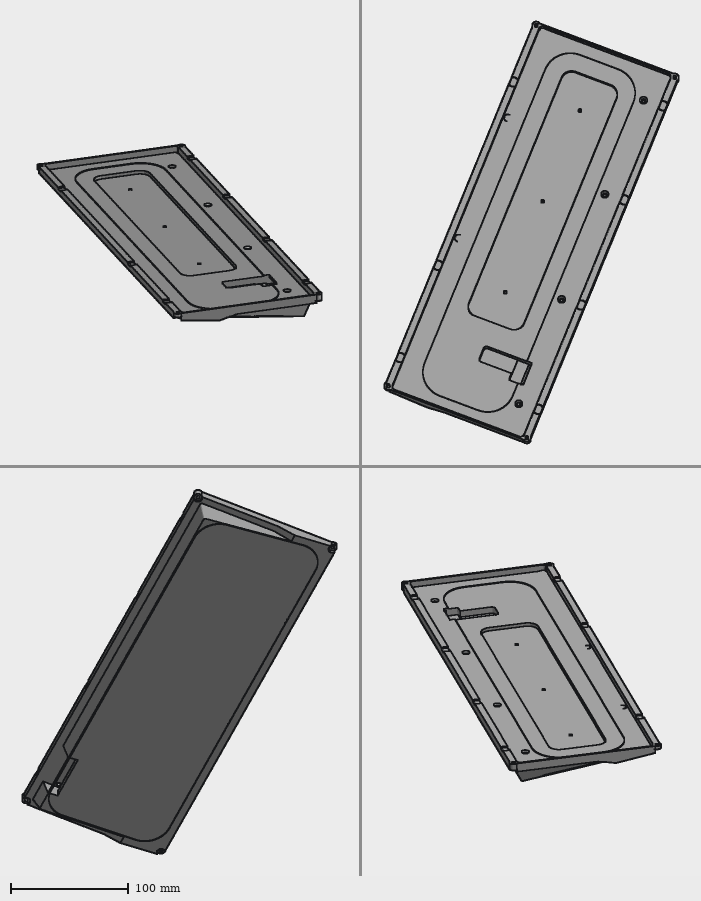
import cadquery as cq
import math

LENGTH = 352.5
WIDTH = 134.0
HEIGHT = 23.0

RING_PROUD = 0.7
RING_RADIUS = 3.5
RING_BORE = 2.9
FRONT_RING_HEIGHT = 3.0
BACK_RING_HEIGHT = 6.0
HALF_X = LENGTH / 2 - RING_PROUD
HALF_Y = WIDTH / 2 - RING_PROUD

SIDE_WALL = 1.5
FLANGE = 6.0
FLOOR_THICKNESS = 2.0
FLOOR_Z = -5.5
TRAY_CORNER = 3.0
BEND_Y = -53.5
UNDERSIDE_Z = FLOOR_Z - FLOOR_THICKNESS
SLOPE_ANGLE = 8.0
SLOPE = math.tan(math.radians(SLOPE_ANGLE))

SKIRT_BEND_Y = -10.5
SKIRT_MEETS_SLOPE_Y = -26.5

WEDGE_TOP_X = 169.5
WEDGE_FOOT_X = 165.5
WEDGE_TOP_BACK_Y = 59.2
WEDGE_FOOT_BACK_Y = 54.3
WEDGE_CORNER = 1.8

PANEL_FRONT_Y = -59.2
PANEL_BACK_Y = 53.2
PANEL_FRONT_X = 168.8
PANEL_BACK_X = 165.0
PANEL_CORNER = 21.0
PANEL_DEPTH = 0.7

NOTCH_DIAMETER = 8.5
NOTCH_DEPTH = 1.5
BACK_NOTCH_X = (-145.5, -55.5, 45.5, 145.5)
FRONT_NOTCH_X = (-118.8, 57.0, 145.5)
SINK_Y = 45.5
SINK_DIAMETER = 6.5
SINK_BORE = 3.2
SINK_DEPTH = 1.5
SINK_BORE_DEPTH = 4.2

SEAT_X = (-88.5, 26.8)
SEAT_Y = -56.5
SEAT_DIAMETER = 6.5
SEAT_Z = -5.3

OUTER_RECESS_X = (-163.5, 163.5)
OUTER_RECESS_Y = (-42.5, 38.0)
OUTER_RECESS_CORNER = 23.0
OUTER_RECESS_DEPTH = 0.7
INNER_RECESS_X = (-148.5, 86.0)
INNER_RECESS_Y = (-27.0, 23.3)
INNER_RECESS_CORNER = 9.0
INNER_RECESS_DEPTH = 4.0

PIN_HOLE_X = (-118.5, -31.5, 55.7)
PIN_HOLE_Y = -2.0
PIN_HOLE_DIAMETER = 2.55
PIN_HOLE_DEPTH = 2.0

CHANNEL_LEFT = 107.5
CHANNEL_RIGHT = 122.3
CHANNEL_FRONT = -0.7
CHANNEL_Z = -12.5
CHANNEL_CORNER = 2.8
SOCKET_RIGHT = 128.5
SOCKET_FRONT = 29.5
SOCKET_BACK = 42.5
SOCKET_Z = -13.0
SOCKET_CORNER = 1.5
SHELF_FRONT = 39.8
SHELF_Z = -14.0
OUTLET_FRONT = 45.5
OUTLET_RIGHT = 148.0
OUTLET_Z = -22.2


def slope_z(y, bend_z):
    """Height at y of the sloped plane that passes through bend_z at the floor bend."""
    return bend_z - SLOPE * (y - BEND_Y)


def prism_along_x(points, half_length):
    """Prism centred on X, from (y, z) outline points."""
    return cq.Workplane("YZ").polyline(points).close().extrude(half_length, both=True)


def box_between(x_limits, y_limits, z_limits):
    size = [high - low for low, high in (x_limits, y_limits, z_limits)]
    corner = (x_limits[0], y_limits[0], z_limits[0])
    return cq.Workplane("XY").box(*size, centered=False).translate(corner)


def cylinders(points, diameter, bottom, top):
    return (
        cq.Workplane("XY", origin=(0, 0, bottom))
        .pushPoints(points)
        .circle(diameter / 2)
        .extrude(top - bottom)
    )


def row(x_values, y):
    return [(x, y) for x in x_values]


def make_rim():
    outline = [
        (HALF_Y, 0),
        (HALF_Y, UNDERSIDE_Z),
        (SKIRT_BEND_Y, UNDERSIDE_Z),
        (SKIRT_MEETS_SLOPE_Y, slope_z(SKIRT_MEETS_SLOPE_Y, UNDERSIDE_Z)),
        (-HALF_Y, slope_z(-HALF_Y, UNDERSIDE_Z)),
        (-HALF_Y, 0),
    ]
    return prism_along_x(outline, HALF_X)


def make_wedge():
    foot_z = slope_z(WEDGE_FOOT_BACK_Y, UNDERSIDE_Z)
    top_center = (WEDGE_TOP_BACK_Y + BEND_Y) / 2
    foot_center = (WEDGE_FOOT_BACK_Y + BEND_Y) / 2
    tapered_block = (
        cq.Workplane("XY", origin=(0, 0, UNDERSIDE_Z))
        .center(0, top_center)
        .rect(2 * WEDGE_TOP_X, WEDGE_TOP_BACK_Y - BEND_Y)
        .workplane(offset=foot_z - UNDERSIDE_Z)
        .center(0, foot_center - top_center)
        .rect(2 * WEDGE_FOOT_X, WEDGE_FOOT_BACK_Y - BEND_Y)
        .loft(ruled=True)
        .faces(">Y")
        .edges("not #Z")
        .fillet(WEDGE_CORNER)
    )
    outline = [
        (BEND_Y, UNDERSIDE_Z),
        (WEDGE_FOOT_BACK_Y, foot_z),
        (WEDGE_TOP_BACK_Y, UNDERSIDE_Z),
    ]
    return tapered_block.intersect(prism_along_x(outline, HALF_X))


def make_panel_recess():
    corners = [
        (-PANEL_FRONT_X, PANEL_FRONT_Y),
        (PANEL_FRONT_X, PANEL_FRONT_Y),
        (PANEL_BACK_X, PANEL_BACK_Y),
        (-PANEL_BACK_X, PANEL_BACK_Y),
    ]
    far_below = -2 * HEIGHT
    column = (
        cq.Workplane("XY", origin=(0, 0, far_below))
        .polyline(corners)
        .close()
        .extrude(-far_below)
        .edges("|Z")
        .fillet(PANEL_CORNER)
    )
    roof_z = UNDERSIDE_Z + PANEL_DEPTH
    below_roof = prism_along_x(
        [
            (-WIDTH, slope_z(-WIDTH, roof_z)),
            (WIDTH, slope_z(WIDTH, roof_z)),
            (WIDTH, far_below),
            (-WIDTH, far_below),
        ],
        HALF_X,
    )
    return column.intersect(below_roof)


def make_tray_space():
    front = FLANGE - HALF_Y
    back = HALF_Y - FLANGE
    outline = [
        (front, 0),
        (front, slope_z(front, FLOOR_Z)),
        (BEND_Y, FLOOR_Z),
        (back, FLOOR_Z),
        (back, 0),
    ]
    return prism_along_x(outline, HALF_X - SIDE_WALL).edges("|Z").fillet(TRAY_CORNER)


def make_recess(x_limits, y_limits, corner, depth):
    return box_between(x_limits, y_limits, (FLOOR_Z - depth, FLOOR_Z)).edges("|Z").fillet(corner)


def make_countersinks():
    cone = cq.Solid.makeCone(SINK_BORE / 2, SINK_DIAMETER / 2, SINK_DEPTH)
    points = row(BACK_NOTCH_X, SINK_Y)
    cones = cq.Workplane("XY", origin=(0, 0, FLOOR_Z - SINK_DEPTH)).pushPoints(points).eachpoint(
        lambda place: cone.moved(place)
    )
    return cones.union(cylinders(points, SINK_BORE, FLOOR_Z - SINK_BORE_DEPTH, FLOOR_Z - SINK_DEPTH))


def make_cable_channel():
    channel = box_between(
        (CHANNEL_LEFT, CHANNEL_RIGHT), (CHANNEL_FRONT, SOCKET_BACK), (CHANNEL_Z, FLOOR_Z)
    ).edges("|Z and <Y").fillet(CHANNEL_CORNER)
    socket = box_between(
        (CHANNEL_LEFT, SOCKET_RIGHT), (SOCKET_FRONT, SOCKET_BACK), (SOCKET_Z, FLOOR_Z)
    ).edges("|Z").edges(">X or >Y").fillet(SOCKET_CORNER)
    shelf = box_between(
        (CHANNEL_LEFT, OUTLET_RIGHT), (SHELF_FRONT, OUTLET_FRONT), (SHELF_Z, UNDERSIDE_Z)
    )
    outlet = box_between(
        (CHANNEL_LEFT, OUTLET_RIGHT), (OUTLET_FRONT, WEDGE_TOP_BACK_Y), (OUTLET_Z, UNDERSIDE_Z)
    )
    return channel.union(socket).union(shelf).union(outlet)


def make_corner_relief(x, y):
    """Rounds the corner off inwards, so that the ring at (x, y) stands free below its height."""
    corner_x = math.copysign(LENGTH / 2, x)
    corner_y = math.copysign(WIDTH / 2, y)
    outside = box_between(sorted((x, corner_x)), sorted((y, corner_y)), (-HEIGHT, 0))
    return outside.union(cylinders([(x, y)], 2 * RING_RADIUS, -HEIGHT, 0))


def add_corner_rings(body):
    ring_x = LENGTH / 2 - RING_RADIUS
    ring_y = WIDTH / 2 - RING_RADIUS
    for y, height in ((-ring_y, FRONT_RING_HEIGHT), (ring_y, BACK_RING_HEIGHT)):
        for x in (-ring_x, ring_x):
            body = body.cut(make_corner_relief(x, y))
            body = body.union(cylinders([(x, y)], 2 * RING_RADIUS, -height, 0))
            body = body.cut(cylinders([(x, y)], RING_BORE, -HEIGHT, 0))
    return body


def make_rim_notches():
    notch_y = HALF_Y - FLANGE / 2
    points = row(BACK_NOTCH_X, notch_y) + row(FRONT_NOTCH_X, -notch_y)
    return cylinders(points, NOTCH_DIAMETER, -NOTCH_DEPTH, 0)


def make_pin_holes():
    top = FLOOR_Z - INNER_RECESS_DEPTH
    return cylinders(row(PIN_HOLE_X, PIN_HOLE_Y), PIN_HOLE_DIAMETER, top - PIN_HOLE_DEPTH, top)


def make_seats():
    return cylinders(row(SEAT_X, SEAT_Y), SEAT_DIAMETER, SEAT_Z, 0)


result = make_rim().union(make_wedge())
cuts = [
    make_panel_recess(),
    make_tray_space(),
    make_recess(OUTER_RECESS_X, OUTER_RECESS_Y, OUTER_RECESS_CORNER, OUTER_RECESS_DEPTH),
    make_recess(INNER_RECESS_X, INNER_RECESS_Y, INNER_RECESS_CORNER, INNER_RECESS_DEPTH),
    make_pin_holes(),
    make_countersinks(),
    make_seats(),
    make_rim_notches(),
    make_cable_channel(),
]
for cut in cuts:
    result = result.cut(cut)
result = add_corner_rings(result)